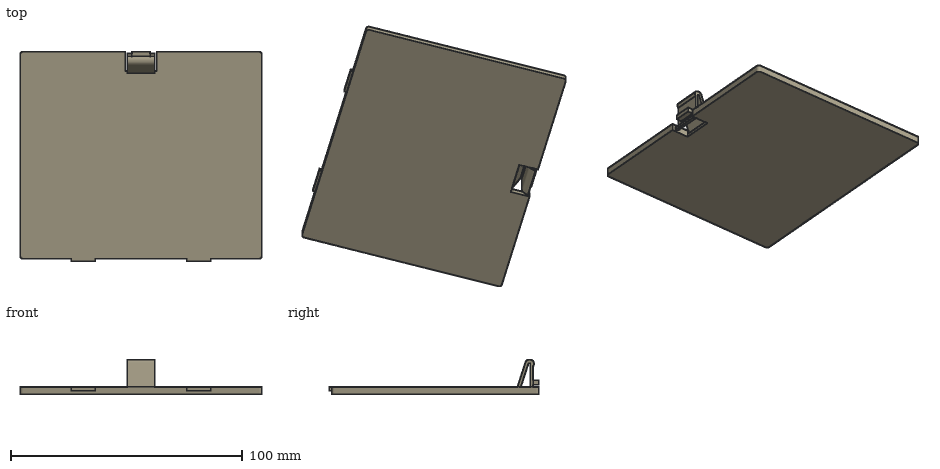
import cadquery as cq
import math

plate_width = 104.5
plate_depth = 89.7
plate_thickness = 3.2
corner_radius = 1.3

notch_width = 13.6
notch_depth = 8.4

tab_width = 10.5
tab_length = 1.0
tab_height = 1.7
tab_offset = 25.0

clip_width = 12.0
clip_top = 15.0
crest_radius = 1.8
crest_flat = 0.3
crest_back_y = -3.9
wall_back_y = -2.5
strip_thickness = 1.3
leg_thickness = 1.5
slot_top = 13.4
leg_angle = math.radians(18)

foot_back_y = -0.8

catch_width = 7.8
catch_bottom = 4.1
catch_height = 2.1


def make_plate():
    plate = cq.Workplane("XY").box(plate_width, plate_depth, plate_thickness, centered=(True, False, False))
    plate = plate.translate((0, -plate_depth, 0)).edges("|Z").fillet(corner_radius)
    notch = cq.Workplane("XY").box(notch_width, 2 * notch_depth, 2 * plate_thickness)
    return plate.cut(notch.translate((0, 0, plate_thickness / 2)))


def make_tab(x):
    tab = cq.Workplane("XY").box(tab_width, 2 * tab_length, tab_height)
    return tab.translate((x, -plate_depth, plate_thickness - tab_height / 2))


def make_clip():
    crest_z = clip_top - crest_radius
    crest_front_y = crest_back_y - crest_flat
    wall_front_y = wall_back_y - strip_thickness
    slope = math.tan(leg_angle)

    tangent_y = crest_front_y - crest_radius * math.cos(leg_angle)
    tangent_z = crest_z + crest_radius * math.sin(leg_angle)
    leg_run = leg_thickness / math.cos(leg_angle)

    def leg_outer_y(z):
        return tangent_y - (tangent_z - z) * slope

    def leg_inner_y(z):
        return leg_outer_y(z) + leg_run

    leg_root_z = tangent_z - (tangent_y + leg_run + notch_depth) / slope

    bulge_z = crest_z - math.sqrt(crest_radius**2 - (wall_back_y - crest_back_y) ** 2)

    foot_top_radius = foot_back_y - wall_back_y
    foot_bottom_radius = foot_top_radius + strip_thickness

    profile = (
        cq.Workplane("YZ")
        .moveTo(wall_front_y, foot_bottom_radius)
        .radiusArc((foot_back_y, 0), -foot_bottom_radius)
        .lineTo(foot_back_y, strip_thickness)
        .radiusArc((wall_back_y, foot_bottom_radius), foot_top_radius)
        .lineTo(wall_back_y, bulge_z)
        .threePointArc((crest_back_y + crest_radius, crest_z), (crest_back_y, clip_top))
        .lineTo(crest_front_y, clip_top)
        .radiusArc((tangent_y, tangent_z), -crest_radius)
        .lineTo(leg_outer_y(plate_thickness), plate_thickness)
        .lineTo(-notch_depth, plate_thickness)
        .lineTo(-notch_depth, leg_root_z)
        .lineTo(leg_inner_y(slot_top), slot_top)
        .lineTo(wall_front_y, slot_top)
        .close()
    )
    return profile.extrude(clip_width / 2, both=True)


def make_catch():
    catch_depth = strip_thickness - wall_back_y
    catch = cq.Workplane("XY").box(catch_width, catch_depth, catch_height)
    return catch.translate((0, -catch_depth / 2, catch_bottom + catch_height / 2))


result = make_plate().union(make_clip()).union(make_catch())
for side in (-1, 1):
    result = result.union(make_tab(side * tab_offset))